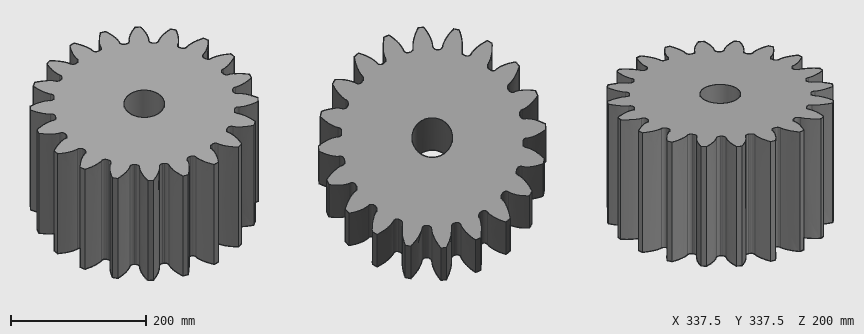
import cadquery as cq
import math


teeth = 20
outer_diameter = 337.5
face_width = 200.0
bore_diameter = 60.0
pressure_angle = math.radians(24)
dedendum_factor = 1.25
flank_points = 7

module = outer_diameter / (teeth + 2)
tip_radius = outer_diameter / 2
pitch_radius = module * teeth / 2
base_radius = pitch_radius * math.cos(pressure_angle)
root_radius = pitch_radius - dedendum_factor * module
tooth_pitch = 2 * math.pi / teeth

fillet_radius = (base_radius**2 - root_radius**2) / (2 * root_radius)
fillet_centre_radius = root_radius + fillet_radius


def involute(angle):
    return math.tan(angle) - angle


base_half_angle = tooth_pitch / 4 + involute(pressure_angle)
fillet_centre_angle = base_half_angle + math.atan(fillet_radius / base_radius)


def polar(radius, angle):
    return (radius * math.cos(angle), radius * math.sin(angle))


def flank_half_angle(radius):
    """Half the angle a tooth spans at a radius on its involute flank."""
    return base_half_angle - involute(math.acos(base_radius / radius))


def flank(centre_angle, side):
    """Points from base to tip on one flank; side is -1 before the centreline, +1 after it."""
    points = []
    for i in range(flank_points):
        radius = base_radius + (tip_radius - base_radius) * (i / (flank_points - 1)) ** 2
        points.append(polar(radius, centre_angle + side * flank_half_angle(radius)))
    return points


def fillet_middle(centre_angle, side):
    """Midpoint of the fillet arc at the foot of one flank."""
    angle = centre_angle + side * fillet_centre_angle
    centre_x, centre_y = polar(fillet_centre_radius, angle)
    to_flank = centre_angle + side * (base_half_angle - math.pi / 2)
    to_axis = angle - side * math.pi
    offset_x, offset_y = polar(fillet_radius, (to_flank + to_axis) / 2)
    return (centre_x + offset_x, centre_y + offset_y)


def add_tooth(outline, centre_angle):
    """Continue the outline over one tooth and across the gap to the next."""
    next_angle = centre_angle + tooth_pitch
    rising = flank(centre_angle, -1)
    falling = flank(centre_angle, 1)[::-1]
    next_base = polar(base_radius, next_angle - base_half_angle)

    outline = outline.spline(rising[1:], includeCurrent=True)
    outline = outline.threePointArc(polar(tip_radius, centre_angle), falling[0])
    outline = outline.spline(falling[1:], includeCurrent=True)
    outline = outline.threePointArc(
        fillet_middle(centre_angle, 1), polar(root_radius, centre_angle + fillet_centre_angle)
    )
    outline = outline.threePointArc(
        polar(root_radius, centre_angle + tooth_pitch / 2),
        polar(root_radius, next_angle - fillet_centre_angle),
    )
    return outline.threePointArc(fillet_middle(next_angle, -1), next_base)


outline = cq.Workplane("XY").workplane(offset=-face_width / 2)
outline = outline.moveTo(*polar(base_radius, -base_half_angle))
for tooth in range(teeth):
    outline = add_tooth(outline, tooth * tooth_pitch)

gear = outline.close().extrude(face_width)
result = gear.faces(">Z").workplane(origin=(0, 0, 0)).hole(bore_diameter)